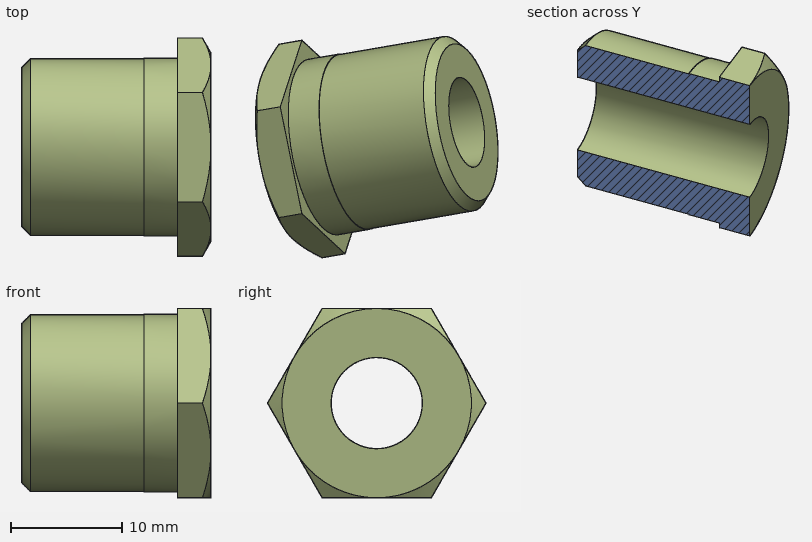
import cadquery as cq
import math

across_corners = 19.63
across_flats = across_corners * math.cos(math.radians(30))
head_thickness = 3.0
head_chamfer_angle = 30.0

total_length = 17.0
collar_diameter = 16.0
collar_length = 3.0
body_diameter = 15.9
tip_chamfer = 0.8
bore_diameter = 8.17

head_start = total_length - head_thickness
collar_start = head_start - collar_length


def cylinder_along_x(diameter, start, end):
    """Cylinder on the X axis between two places."""
    plane = cq.Workplane("YZ", origin=(start, 0, 0))
    return plane.circle(diameter / 2).extrude(end - start)


def hexagon_head():
    """Hexagon with corners on the Y axis, its outer corners cut by a cone."""
    hexagon = (
        cq.Workplane("YZ", origin=(head_start, 0, 0))
        .polygon(6, across_corners)
        .extrude(head_thickness)
    )
    corner_radius = across_corners / 2
    face_radius = across_flats / 2
    chamfer_depth = (corner_radius - face_radius) * math.tan(math.radians(head_chamfer_angle))
    envelope = (
        cq.Workplane("XY")
        .moveTo(head_start, 0)
        .lineTo(head_start, corner_radius)
        .lineTo(total_length - chamfer_depth, corner_radius)
        .lineTo(total_length, face_radius)
        .lineTo(total_length, 0)
        .close()
        .revolve(360, (0, 0, 0), (1, 0, 0))
    )
    return hexagon.intersect(envelope)


body = cylinder_along_x(body_diameter, 0, collar_start).faces("<X").chamfer(tip_chamfer)
collar = cylinder_along_x(collar_diameter, collar_start, head_start)
bore = cylinder_along_x(bore_diameter, 0, total_length)

result = body.union(collar).union(hexagon_head()).cut(bore)